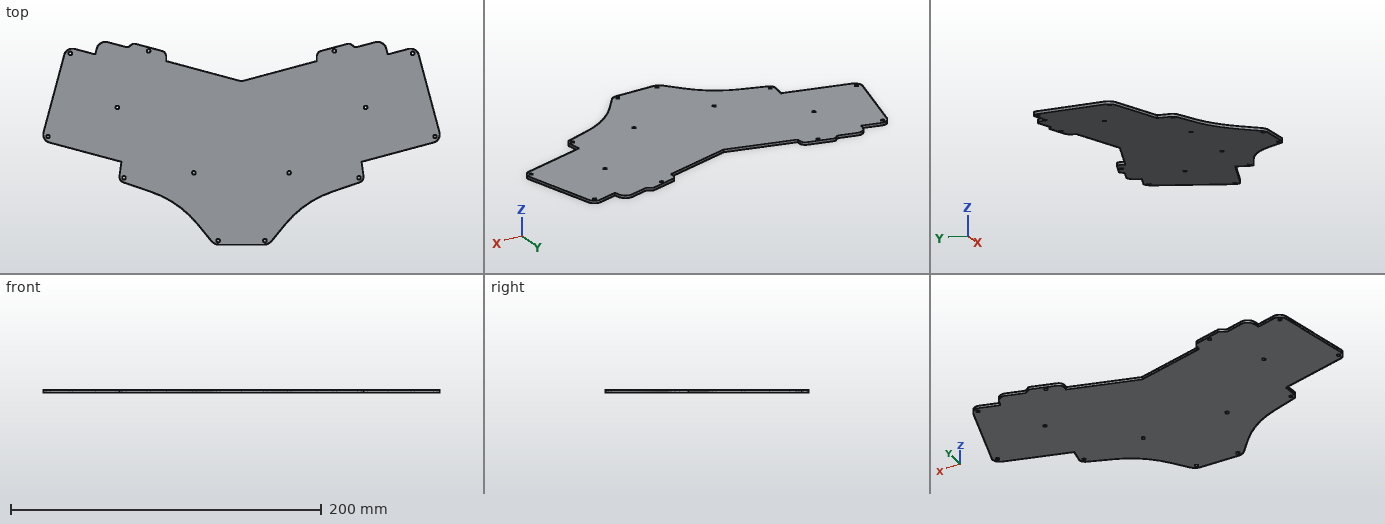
import cadquery as cq
import math


thickness = 2.0
overall_length = 255.3
hole_diameter = 2.2

tilt = math.radians(15)
vee_height = 105.5

wing_length = 114.5
wing_bottom = -70.2
corner_hole_inset = 3.5

vee_edge_length = 50.0
inner_step_height = 5.5
inner_step_radius = 4.0
inner_step_flare = 1.5
ramp_start = 73.5
ramp_end = 76.3
middle_step_height = 2.0
middle_step_end = 95.5
outer_step_height = -7.7
crest_radius = 5.9
ramp_radius = 2.5

tab_root = 61.3
tab_drop = 12.3
tab_lean = 1.5
tab_radius = 4.0

foot_half_width = 17.4
waist_x = 40.3
waist_y = 28.0
waist_radius = 66.4
foot_radius = 7.7

step_hole = (62.8, 3.3)
wing_hole = (72.8, -37.0)
tab_hole = (57.0, -79.6)
inner_hole = (30.6, 46.5)
foot_hole = (15.0, 2.8)


def on_wing(out, up):
    """Plate coordinates of a point given in the left wing's frame."""
    x = -out * math.cos(tilt) + up * math.sin(tilt)
    y = vee_height + out * math.sin(tilt) + up * math.cos(tilt)
    return (x, y)


sharp_half_length = -on_wing(wing_length, wing_bottom)[0]
trim_per_radius = math.cos(tilt) + math.sin(tilt) - 1
wing_radius = (sharp_half_length - overall_length / 2) / trim_per_radius

tab_bottom = wing_bottom - tab_drop
tab_tip = tab_root - tab_lean

corners = [
    (on_wing(0, 0), 0),
    (on_wing(vee_edge_length, 0), 0),
    (on_wing(vee_edge_length + inner_step_flare, inner_step_height), inner_step_radius),
    (on_wing(ramp_start, inner_step_height), ramp_radius),
    (on_wing(ramp_end, middle_step_height), ramp_radius),
    (on_wing(middle_step_end, middle_step_height), crest_radius),
    (on_wing(middle_step_end, outer_step_height), 0),
    (on_wing(wing_length, outer_step_height), wing_radius),
    (on_wing(wing_length, wing_bottom), wing_radius),
    (on_wing(tab_root, wing_bottom), 0),
    (on_wing(tab_tip, tab_bottom), tab_radius),
    ((-waist_x, waist_y), waist_radius),
    ((-foot_half_width, 0), foot_radius),
    ((0, 0), 0),
]

half_plate = cq.Workplane("XY").polyline([point for point, _ in corners]).close().extrude(thickness)

for (x, y), radius in corners:
    if radius > 0:
        edge = cq.selectors.NearestToPointSelector((x, y, thickness / 2))
        half_plate = half_plate.edges("|Z").edges(edge).fillet(radius)

plate = half_plate.union(half_plate.mirror("YZ")).clean()

left_holes = [
    on_wing(wing_length - corner_hole_inset, outer_step_height - corner_hole_inset),
    on_wing(wing_length - corner_hole_inset, wing_bottom + corner_hole_inset),
    on_wing(*step_hole),
    on_wing(*wing_hole),
    on_wing(*tab_hole),
    (-inner_hole[0], inner_hole[1]),
    (-foot_hole[0], foot_hole[1]),
]
hole_centres = left_holes + [(-x, y) for x, y in left_holes]
holes = cq.Workplane("XY").pushPoints(hole_centres).circle(hole_diameter / 2).extrude(thickness)

result = plate.cut(holes)